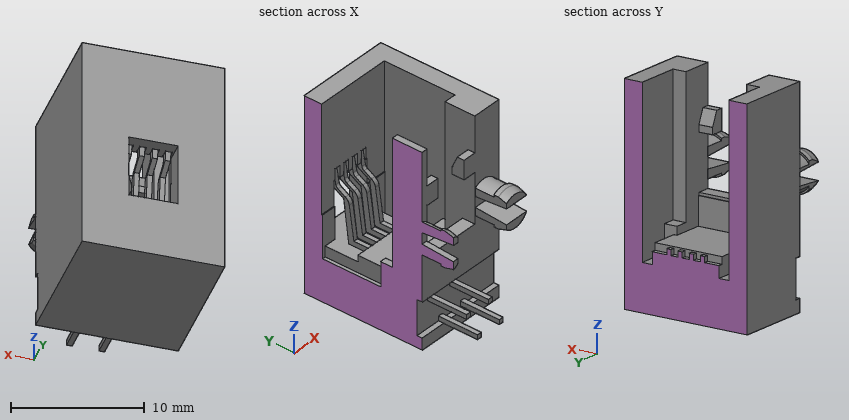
import cadquery as cq


body_width = 11.18
body_depth = 11.5
body_height = 18.1

cavity_width = 7.86
cavity_front = 2.9
cavity_back = 9.77
cavity_bottom_z = 4.0
rear_floor_z = 5.0
main_floor_z = 5.6
corner_z = 6.3
floor_width = 6.12
corner_back = 4.05
main_floor_back = 6.51
back_lip = 0.08
lip_z = 8.0

slot_width = 5.55
sill_z = 8.23
sill_depth = 1.2
sill_lip = 0.08
tab_length = 1.25
tab_bottom_z = 12.94
tab_top_z = 14.73
tab_flat = 0.66
tab_slope_drop = 1.2

window_width = 3.85
window_top_z = 10.26

contact_count = 4
contact_pitch = 1.016
contact_width = 0.41
contact_depth = 0.5
contact_slot_width = 0.55
contact_top_z = 11.33
contact_top_y = 10.05
upper_bend_y, upper_bend_z = 9.73, 9.66
lower_bend_y, lower_bend_z = 8.51, 8.94
foot_y, foot_z = 8.01, 5.47
upper_bend_radius = 0.43
lower_bend_radius = 0.8

recess_bottom_z = 1.13
recess_top_z = 4.39
recess_depth = 0.5
pin_pitch = 1.27
pin_size = 0.45
pin_reach = 3.3
lower_pin_z = 1.34
upper_pin_z = lower_pin_z + 2 * pin_pitch

peg_x = 3.81
peg_z = 10.22
peg_radius = 1.6
barb_radius = 1.76
tip_radius = 1.55
barb_start = 1.8
barb_end = 2.25
peg_length = 3.04
peg_inner_x = 2.83
peg_outer_x = 5.17
gap_half_root = 0.5
gap_half_tip = 0.73


def block(x0, x1, y0, y1, z0, z1):
    """Box spanning the given limits."""
    return cq.Workplane("XY").box(x1 - x0, y1 - y0, z1 - z0, centered=False).translate((x0, y0, z0))


def centred_block(width, y0, y1, z0, z1):
    """Box of the given width, symmetric about x = 0."""
    return block(-width / 2, width / 2, y0, y1, z0, z1)


def side_prism(points, x0, x1):
    """Closed (y, z) outline extruded from x0 to x1."""
    return cq.Workplane("YZ").polyline(points).close().extrude(x1 - x0).translate((x0, 0, 0))


def make_shell():
    """Housing with its cavity, latch slot, rear window and pin recess."""
    shell = centred_block(body_width, 0, body_depth, 0, body_height)
    shell = shell.cut(centred_block(cavity_width, cavity_front, cavity_back, cavity_bottom_z, body_height))
    shell = shell.cut(centred_block(slot_width, sill_depth, cavity_front, main_floor_z, body_height))
    shell = shell.cut(centred_block(slot_width, 0, sill_depth, sill_z, body_height))
    back_step = centred_block(cavity_width, cavity_back - back_lip, cavity_back, cavity_bottom_z, lip_z)
    sill_step = centred_block(slot_width, sill_depth, sill_depth + sill_lip, main_floor_z, lip_z)
    shell = shell.union(back_step).union(sill_step)
    shell = shell.cut(
        centred_block(window_width, cavity_back - back_lip, body_depth, rear_floor_z, window_top_z)
    )
    return shell.cut(centred_block(body_width, 0, recess_depth, recess_bottom_z, recess_top_z))


def make_floor_steps():
    """Main floor, lower rear floor and front corner steps, standing on the cavity bottom."""
    steps = centred_block(floor_width, cavity_front, main_floor_back, cavity_bottom_z, main_floor_z)
    steps = steps.union(
        centred_block(floor_width, main_floor_back, cavity_back, cavity_bottom_z, rear_floor_z)
    )
    for side in (-1, 1):
        left, right = sorted((side * slot_width / 2, side * cavity_width / 2))
        steps = steps.union(block(left, right, cavity_front, corner_back, cavity_bottom_z, corner_z))
    return steps


def make_tabs():
    """Latch tabs narrowing the slot, sloped at the back."""
    outline = [
        (0, tab_bottom_z),
        (0, tab_top_z),
        (tab_flat, tab_top_z),
        (sill_depth, tab_top_z - tab_slope_drop),
        (sill_depth, tab_bottom_z),
    ]
    half_slot = slot_width / 2
    left = side_prism(outline, -half_slot, -half_slot + tab_length)
    return left.union(left.mirror("YZ"))


def make_contact(x):
    """Bent spring contact running from its slot in the back wall to a foot on the rear floor."""
    x0 = x - contact_width / 2
    outline = [
        (contact_top_y, contact_top_z),
        (upper_bend_y, upper_bend_z),
        (lower_bend_y, lower_bend_z),
        (foot_y, foot_z),
        (main_floor_back, foot_z),
        (main_floor_back, rear_floor_z),
        (foot_y + contact_depth, rear_floor_z),
        (lower_bend_y + contact_depth, lower_bend_z),
        (upper_bend_y + contact_depth, upper_bend_z),
        (contact_top_y + contact_depth, contact_top_z),
    ]
    contact = side_prism(outline, x0, x0 + contact_width)
    bends = (
        (upper_bend_y, upper_bend_z, upper_bend_radius),
        (lower_bend_y, lower_bend_z, lower_bend_radius),
    )
    for y, z, radius in bends:
        contact = contact.edges(cq.selectors.NearestToPointSelector((x, y, z))).fillet(radius)
    return contact


def make_contact_slot(x):
    """Slot in the back wall that holds the top of a contact."""
    half = contact_slot_width / 2
    slot_back = contact_top_y + contact_depth
    return block(x - half, x + half, cavity_back, slot_back, window_top_z, contact_top_z)


def make_pin(x, z):
    """Square solder pin standing out of the recess."""
    half = pin_size / 2
    return block(x - half, x + half, -pin_reach, recess_depth, z - half, z + half)


def make_peg():
    """Barbed round peg on the +X side, with flat sides and a tapered gap across its middle."""
    profile = [
        (0, 0),
        (peg_radius, 0),
        (peg_radius, -barb_start),
        (barb_radius, -barb_start),
        (barb_radius, -barb_end),
        (tip_radius, -peg_length),
        (0, -peg_length),
    ]
    peg = cq.Workplane("XY").polyline(profile).close().revolve(360, (0, 0, 0), (0, 1, 0))
    peg = peg.translate((peg_x, 0, peg_z))
    peg = peg.intersect(
        block(peg_inner_x, peg_outer_x, -peg_length, 0, peg_z - barb_radius, peg_z + barb_radius)
    )
    gap = [
        (0, peg_z - gap_half_root),
        (0, peg_z + gap_half_root),
        (-peg_length, peg_z + gap_half_tip),
        (-peg_length, peg_z - gap_half_tip),
    ]
    return peg.cut(side_prism(gap, peg_inner_x, peg_outer_x))


result = make_shell().union(make_floor_steps()).union(make_tabs())

for index in range(contact_count):
    contact_x = (index - (contact_count - 1) / 2) * contact_pitch
    result = result.cut(make_contact_slot(contact_x)).union(make_contact(contact_x))

for index in range(contact_count):
    pin_x = (index - (contact_count - 1) / 2) * pin_pitch
    pin_z = upper_pin_z if index % 2 == 0 else lower_pin_z
    result = result.union(make_pin(pin_x, pin_z))

right_peg = make_peg()
result = result.union(right_peg).union(right_peg.mirror("YZ"))